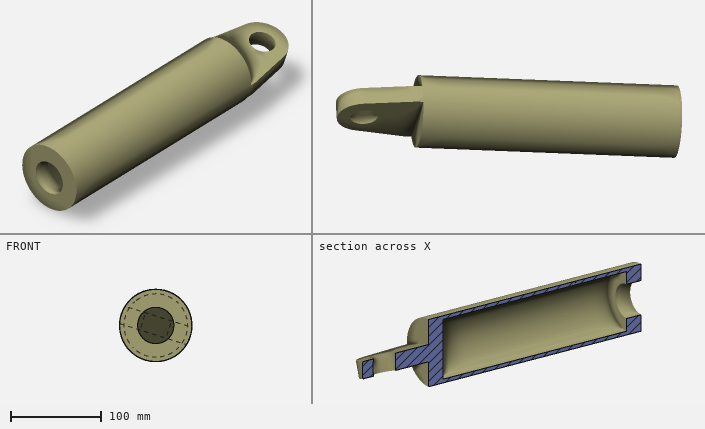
import cadquery as cq
import math

BARREL_DIAMETER = 80.0
BARREL_LENGTH = 290.0
CHAMBER_DIAMETER = 70.0
ROD_HOLE_DIAMETER = 40.0
END_WALL = 20.0

LUG_THICKNESS = 20.0
EYE_RADIUS = 30.0
PIN_DIAMETER = 30.0
EYE_DISTANCE = 60.0
LUG_TILT = 17.5


def cylinder_along_y(diameter, start, length):
    """Solid cylinder on the barrel axis, from Y = start towards +Y."""
    axis = cq.Vector(0, 1, 0)
    return cq.Workplane(cq.Solid.makeCylinder(diameter / 2, length, cq.Vector(0, start, 0), axis))


def make_barrel():
    """Barrel with a closed chamber reached through the rod hole."""
    chamber_length = BARREL_LENGTH - 2 * END_WALL
    barrel = cylinder_along_y(BARREL_DIAMETER, 0, BARREL_LENGTH)
    rod_hole = cylinder_along_y(ROD_HOLE_DIAMETER, 0, END_WALL)
    chamber = cylinder_along_y(CHAMBER_DIAMETER, END_WALL, chamber_length)
    return barrel.cut(rod_hole).cut(chamber)


def make_lug():
    """Tapered plate whose sides run tangent to the eye, trimmed to the barrel diameter."""
    base_y = BARREL_LENGTH
    base_half_width = BARREL_DIAMETER / 2
    eye_y = base_y + EYE_DISTANCE

    corner_distance = math.hypot(base_half_width, EYE_DISTANCE)
    corner_angle = math.atan2(-EYE_DISTANCE, base_half_width)
    tangent_angle = corner_angle + math.acos(EYE_RADIUS / corner_distance)
    tangent_x = EYE_RADIUS * math.cos(tangent_angle)
    tangent_y = eye_y + EYE_RADIUS * math.sin(tangent_angle)

    plate = (
        cq.Workplane("XY")
        .moveTo(-base_half_width, base_y)
        .lineTo(base_half_width, base_y)
        .lineTo(tangent_x, tangent_y)
        .threePointArc((0, eye_y + EYE_RADIUS), (-tangent_x, tangent_y))
        .close()
        .extrude(LUG_THICKNESS / 2, both=True)
    )
    pin_hole = (
        cq.Workplane("XY")
        .center(0, eye_y)
        .circle(PIN_DIAMETER / 2)
        .extrude(LUG_THICKNESS, both=True)
    )
    envelope = cylinder_along_y(BARREL_DIAMETER, base_y, EYE_DISTANCE + EYE_RADIUS)
    lug = plate.cut(pin_hole).intersect(envelope)
    return lug.rotate((0, 0, 0), (0, 1, 0), LUG_TILT)


result = make_barrel().union(make_lug())